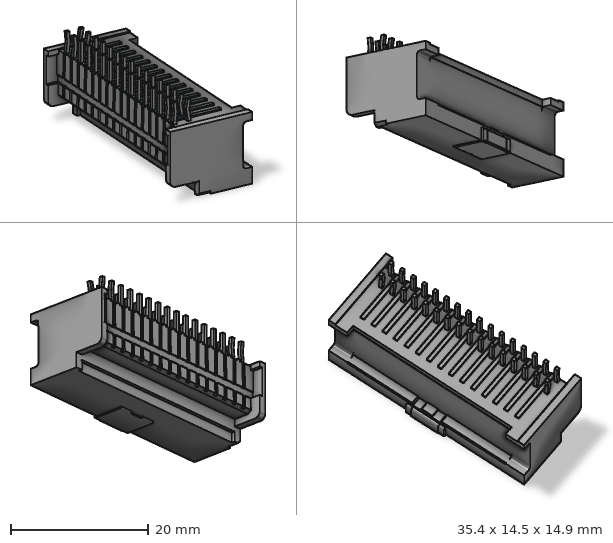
import cadquery as cq
import math


width = 35.4
depth = 14.0
height = 11.4
plate_thickness = 1.2
inner_half = width / 2 - plate_thickness
deck_z = height - 0.22

foot_y = 4.95
foot_z = 2.45
plate_corner_radius = 1.0
notch_depth = 1.55
notch_bottom = 2.65
notch_top = 10.1
notch_radius = 0.6
back_wall_y = depth - notch_depth

wall_y = 1.75
wall_top_y = 1.85
wall_bottom = 3.62
wall_bevel_y = 0.65
wall_bevel_z = 0.45

pitch = 2.0
pin_columns = 16
bent_columns_per_side = 2
pin_size = 0.55
pin_top = 14.65
pin_root = 10.0
pin_bend_low = 11.6
pin_bend_mid = 13.13
front_pin_bend = 0.14
back_pin_bend = 0.25
slot_floor_y = 2.05
front_pin_y = slot_floor_y + pin_size / 2
back_pin_y = 4.75

groove_bottom = 5.97
groove_top = 7.15
groove_floor_y = 1.95
pocket_top = 10.55
pocket_half = width / 2 - 0.66

rib_width = 0.67
rib_end_y = 10.8

opening_half = 14.35

recess_height = 1.6
recess_depth = 0.55

foot_chamfer = 0.5
foot_chamfer_length = 2.0

lip_lean = 0.13

latch_half = 3.47
latch_core_half = 2.42
latch_drop = 0.25
latch_front_y = 9.1
latch_core_y = 14.5
latch_side_y = 14.4
latch_top = 1.95
latch_arc_start_y = 14.05
latch_back_radius = 0.2
tongue_half = 1.05

lip_slot_inner = 1.0
lip_slot_outer = 2.66
lip_slot_floor_outer = 2.42
lip_slot_floor = 2.4


def box(x0, x1, y0, y1, z0, z1):
    return cq.Workplane("XY").box(x1 - x0, y1 - y0, z1 - z0, centered=False).translate((x0, y0, z0))


def prism(points, x0, x1):
    """Extrude a (y, z) outline between two X positions."""
    return cq.Workplane("YZ").polyline(points).close().extrude(x1 - x0).translate((x0, 0, 0))


def wall_face_y(z):
    """Y of the leaning front wall face at height z."""
    bevel_top = wall_bottom + wall_bevel_z
    return wall_y + (wall_top_y - wall_y) * (z - bevel_top) / (deck_z - bevel_top)


def column_positions(count):
    return [(i - (count - 1) / 2) * pitch for i in range(count)]


def rear_notch():
    """Full-width notch, square in the middle and filleted at both ends."""
    notch = box(-opening_half, opening_half, back_wall_y, depth, notch_bottom, notch_top)
    for x0, x1 in ((-width / 2, -opening_half), (opening_half, width / 2)):
        end = box(x0, x1, back_wall_y, depth, notch_bottom, notch_top)
        notch = notch.union(end.edges("|X and <Y").fillet(notch_radius))
    return notch


def end_plate(x0):
    outline = [(0, foot_z), (foot_y, foot_z), (foot_y, 0), (depth, 0), (depth, height), (0, height)]
    plate = prism(outline, x0, x0 + plate_thickness)
    return plate.edges("|X and <Y").edges("<Z").fillet(plate_corner_radius)


def body():
    outline = [
        (wall_top_y, deck_z),
        (wall_y, wall_bottom + wall_bevel_z),
        (wall_y + wall_bevel_y, wall_bottom),
        (foot_y, wall_bottom),
        (foot_y, 0),
        (depth, 0),
        (depth, deck_z),
    ]
    return prism(outline, -inner_half, inner_half)


def deck_ribs():
    outline = [
        (wall_face_y(deck_z), deck_z),
        (wall_face_y(height), height),
        (rib_end_y, height),
        (rib_end_y, deck_z),
    ]
    ribs = cq.Workplane("XY")
    for x in column_positions(pin_columns - 1):
        ribs = ribs.add(prism(outline, x - rib_width / 2, x + rib_width / 2))
    return ribs.combine()


def front_cuts():
    """Pin slots down the wall, the long groove and the end plate pockets."""
    cuts = box(-pocket_half, pocket_half, wall_y, groove_floor_y, groove_bottom, groove_top)
    pocket_outline = [
        (0, groove_bottom),
        (wall_face_y(groove_bottom), groove_bottom),
        (wall_face_y(pocket_top), pocket_top),
        (0, pocket_top),
    ]
    cuts = cuts.union(prism(pocket_outline, -pocket_half, pocket_half))
    for x in column_positions(pin_columns):
        cuts = cuts.union(box(x - pin_size / 2, x + pin_size / 2, 0, slot_floor_y, wall_bottom, height))
    return cuts


def groove_bar():
    """Floor of the groove, bridging the pin slots."""
    return box(-pocket_half, pocket_half, groove_floor_y, slot_floor_y, groove_bottom, groove_top)


def foot_cuts():
    recess = box(-inner_half, inner_half, foot_y, foot_y + recess_depth, 0, recess_height)
    corner = width / 2
    chamfer = (
        cq.Workplane("XZ", origin=(0, foot_y, 0))
        .polyline([(corner, 0), (corner, foot_chamfer), (corner - foot_chamfer, 0)])
        .close()
        .extrude(-foot_chamfer_length)
    )
    return recess.union(chamfer)


def pin(x, y, bend):
    """Square pin whose middle is offset by bend along Y."""
    front = y - pin_size / 2
    back = y + pin_size / 2
    outline = [(front, pin_root), (front, pin_bend_low)]
    if bend:
        outline += [(front + bend, pin_bend_mid)]
    outline += [(front, pin_top), (back, pin_top)]
    if bend:
        outline += [(back + bend, pin_bend_mid)]
    outline += [(back, pin_bend_low), (back, pin_root)]
    return prism(outline, x - pin_size / 2, x + pin_size / 2)


def lip_lean_cut():
    outline = [(depth, lip_slot_floor), (depth, notch_bottom), (depth - lip_lean, notch_bottom)]
    return prism(outline, -opening_half, opening_half)


def lip_slot(side):
    """Slot through the lower lip on one side (+1 or -1) of mid-width."""
    return (
        cq.Workplane("XZ", origin=(0, back_wall_y, 0))
        .moveTo(side * lip_slot_inner, lip_slot_floor)
        .lineTo(side * lip_slot_floor_outer, lip_slot_floor)
        .lineTo(side * lip_slot_outer, notch_bottom)
        .lineTo(side * lip_slot_inner, notch_bottom)
        .close()
        .extrude(-notch_depth)
    )


def latch_slab(half, back_y):
    """Latch strip under the housing and up its back, rounded at the front and at the top."""
    diagonal = math.sqrt(0.5)
    top_radius = back_y - latch_arc_start_y
    arc_z = latch_top - top_radius
    arc_middle = (latch_arc_start_y + top_radius * diagonal, arc_z + top_radius * diagonal)
    ramp_end_y = latch_front_y + latch_drop
    ramp_middle = (ramp_end_y - latch_drop * diagonal, -latch_drop * diagonal)
    return (
        cq.Workplane("YZ", origin=(-half, 0, 0))
        .moveTo(latch_front_y, 0)
        .threePointArc(ramp_middle, (ramp_end_y, -latch_drop))
        .lineTo(back_y - latch_back_radius, -latch_drop)
        .lineTo(back_y, latch_back_radius - latch_drop)
        .lineTo(back_y, arc_z)
        .threePointArc(arc_middle, (latch_arc_start_y, latch_top))
        .lineTo(back_wall_y, latch_top)
        .lineTo(back_wall_y, 0)
        .close()
        .extrude(2 * half)
    )


def latch():
    strip = latch_slab(latch_half, latch_side_y).union(latch_slab(latch_core_half, latch_core_y))
    tongue_y = latch_front_y + latch_drop
    return strip.cut(box(-tongue_half, tongue_half, latch_front_y, tongue_y, -latch_drop, 0))


housing = body().union(end_plate(-width / 2)).union(end_plate(inner_half))
housing = housing.cut(rear_notch())
housing = housing.cut(box(-opening_half, opening_half, depth - 1.47, depth, notch_top, height))
housing = housing.union(deck_ribs()).cut(front_cuts()).union(groove_bar()).cut(foot_cuts())

housing = housing.cut(lip_lean_cut()).cut(lip_slot(-1)).cut(lip_slot(1)).union(latch())

result = housing
for column, x in enumerate(column_positions(pin_columns)):
    is_bent = min(column, pin_columns - 1 - column) < bent_columns_per_side
    front_bend = front_pin_bend if is_bent else 0
    back_bend = back_pin_bend if is_bent else 0
    result = result.union(pin(x, front_pin_y, front_bend)).union(pin(x, back_pin_y, -back_bend))